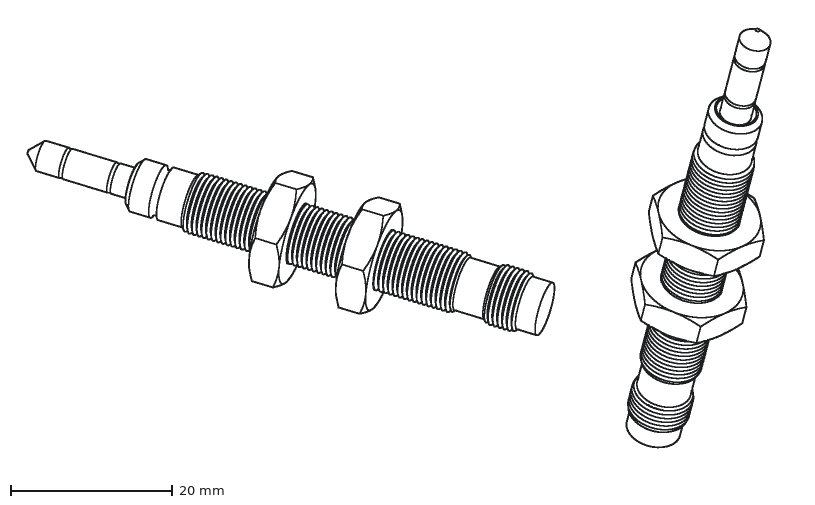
import cadquery as cq
import math

total_length = 68.6
plunger_diameter = 4.0
tip_flat_diameter = 0.55
plunger_end = 21.6
mark_starts = (4.8, 11.2)
mark_width = 0.5
mark_depth = 0.1

barrel_diameter = 6.85
nose_start = 13.9
nose_chamfer = 0.7
mouth_diameter = 5.1
nose_groove_start = 17.3
nose_groove_width = 1.0
nose_groove_depth = 0.5
thread_diameter = 7.8
thread_angle = 60.0
main_thread_start = 21.6
main_thread_end = 57.7
main_first_root = 22.3
main_last_root = 57.2
main_root_count = 56
rear_thread_start = 61.65
rear_thread_end = 66.0
rear_first_root = 62.2
rear_root_count = 6

nut_sides = 6
nut_corner_diameter = 15.0
nut_thickness = 4.0
nut_starts = (31.75, 43.3)
nut_turn = 9.4
nut_chamfer_angle = 30.0

plunger_radius = plunger_diameter / 2
barrel_radius = barrel_diameter / 2
thread_radius = thread_diameter / 2
thread_pitch = (main_last_root - main_first_root) / (main_root_count - 1)
flank_slope = 1 / math.tan(math.radians(thread_angle / 2))
root_radius = thread_radius - flank_slope * thread_pitch / 2


def turned(profile):
    """Revolve a closed profile, drawn as (X, radius), about the X axis."""
    return profile.close().revolve(360, (0, 0, 0), (1, 0, 0))


def disc(start, end, radius):
    """A round bar along the X axis."""
    return cq.Workplane("YZ", origin=(start, 0, 0)).circle(radius).extrude(end - start)


def groove_ring(start, width, depth, radius):
    """A ring of arc-shaped section that cuts a groove into a bar of the given radius."""
    return turned(
        cq.Workplane("XY")
        .moveTo(start, radius)
        .threePointArc((start + width / 2, radius - depth), (start + width, radius))
    )


def make_plunger():
    tip_flat_radius = tip_flat_diameter / 2
    tip_length = plunger_radius - tip_flat_radius
    plunger = turned(
        cq.Workplane("XY")
        .moveTo(0, 0)
        .lineTo(0, tip_flat_radius)
        .lineTo(tip_length, plunger_radius)
        .lineTo(plunger_end, plunger_radius)
        .lineTo(plunger_end, 0)
    )
    for start in mark_starts:
        plunger = plunger.cut(groove_ring(start, mark_width, mark_depth, plunger_radius))
    return plunger


def thread_end_ridge(barrel_end, root):
    """The peak of an end ridge, where a 45 degree chamfer from the barrel meets the flank of the root."""
    reach = abs(root - barrel_end)
    peak_height = (flank_slope * reach + root_radius - barrel_radius) / (1 + flank_slope)
    peak = barrel_end + math.copysign(peak_height, root - barrel_end)
    return peak, barrel_radius + peak_height


def add_thread(profile, start, end, first_root, root_count):
    """Continue a profile with a row of sharp ridges that run out to the barrel at both ends."""
    last_root = first_root + (root_count - 1) * thread_pitch
    profile = profile.lineTo(start, barrel_radius).lineTo(*thread_end_ridge(start, first_root))
    for index in range(root_count - 1):
        root = first_root + index * thread_pitch
        profile = profile.lineTo(root, root_radius).lineTo(root + thread_pitch / 2, thread_radius)
    profile = profile.lineTo(last_root, root_radius)
    return profile.lineTo(*thread_end_ridge(end, last_root)).lineTo(end, barrel_radius)


def make_housing():
    mouth_radius = mouth_diameter / 2
    mouth_depth = mouth_radius - plunger_radius
    profile = (
        cq.Workplane("XY")
        .moveTo(plunger_end, 0)
        .lineTo(plunger_end, plunger_radius)
        .lineTo(nose_start + mouth_depth, plunger_radius)
        .lineTo(nose_start, mouth_radius)
        .lineTo(nose_start, barrel_radius - nose_chamfer)
        .lineTo(nose_start + nose_chamfer, barrel_radius)
    )
    profile = add_thread(profile, main_thread_start, main_thread_end, main_first_root, main_root_count)
    profile = add_thread(profile, rear_thread_start, rear_thread_end, rear_first_root, rear_root_count)
    housing = turned(profile.lineTo(total_length, barrel_radius).lineTo(total_length, 0))
    return housing.cut(groove_ring(nose_groove_start, nose_groove_width, nose_groove_depth, barrel_radius))


def make_nut(start):
    corner_radius = nut_corner_diameter / 2
    face_radius = corner_radius * math.cos(math.pi / nut_sides)
    chamfer = (corner_radius - face_radius) * math.tan(math.radians(nut_chamfer_angle))
    end = start + nut_thickness
    hexagon = (
        cq.Workplane("YZ", origin=(start, 0, 0))
        .transformed(rotate=(0, 0, 90 - nut_turn))
        .polygon(nut_sides, nut_corner_diameter)
        .extrude(nut_thickness)
    )
    envelope = turned(
        cq.Workplane("XY")
        .moveTo(start, 0)
        .lineTo(start, face_radius)
        .lineTo(start + chamfer, corner_radius)
        .lineTo(end - chamfer, corner_radius)
        .lineTo(end, face_radius)
        .lineTo(end, 0)
    )
    return hexagon.intersect(envelope).cut(disc(start, end, thread_radius))


plunger = make_plunger()
housing = make_housing()
nuts = [make_nut(start) for start in nut_starts]

result = cq.Compound.makeCompound([plunger.val(), housing.val(), *[nut.val() for nut in nuts]])